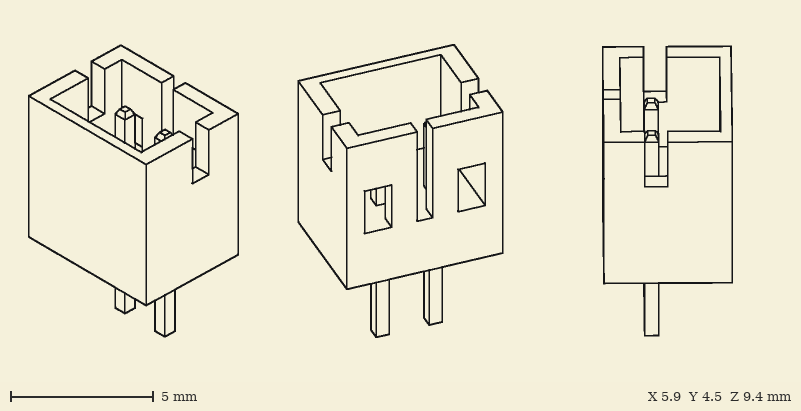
import cadquery as cq

WIDTH = 5.9
DEPTH = 4.5
HEIGHT = 6.0
SIDE_WALL = 0.67
FRONT_WALL = 0.4
REAR_WALL = 0.6
FLOOR = 2.2

KEY_SLOT_WIDTH = 0.58
SIDE_NOTCH_WIDTH = 0.8
SIDE_NOTCH_DEPTH = 1.9
WINDOW_DROP = 2.0
WINDOW_INNER_X = 1.26

PIN_SIZE = 0.5
PIN_PITCH = 2.0
PIN_TAIL = 9.4 - HEIGHT
PIN_TOP_DROP = 0.95
PIN_REAR_GAP = 1.44
TIP_SIZE = 0.26
TIP_HEIGHT = 0.22

front_y = -DEPTH / 2
rear_y = DEPTH / 2
cavity_half_width = WIDTH / 2 - SIDE_WALL
pin_rear_y = rear_y - PIN_REAR_GAP
pin_y = pin_rear_y - PIN_SIZE / 2


def block(x_range, y_range, z_range):
    """Rectangular block spanning the given limits."""
    lows, highs = zip(x_range, y_range, z_range)
    sizes = [high - low for low, high in zip(lows, highs)]
    return cq.Workplane("XY").box(*sizes, centered=False).translate(lows)


def housing():
    body = block((-WIDTH / 2, WIDTH / 2), (front_y, rear_y), (0, HEIGHT))
    cavity = block(
        (-cavity_half_width, cavity_half_width),
        (front_y + FRONT_WALL, rear_y - REAR_WALL),
        (FLOOR, HEIGHT),
    )
    rear_wall_y = (rear_y - REAR_WALL, rear_y)
    key_slot = block((-KEY_SLOT_WIDTH / 2, KEY_SLOT_WIDTH / 2), rear_wall_y, (FLOOR, HEIGHT))

    side_notches = block(
        (-WIDTH / 2, WIDTH / 2),
        (pin_rear_y - SIDE_NOTCH_WIDTH, pin_rear_y),
        (HEIGHT - SIDE_NOTCH_DEPTH, HEIGHT),
    )
    window = block((WINDOW_INNER_X, cavity_half_width), rear_wall_y, (FLOOR, HEIGHT - WINDOW_DROP))
    body = body.cut(cavity).cut(key_slot).cut(side_notches)
    return body.cut(window).cut(window.mirror("YZ"))


def pin(x):
    """Square pin through the floor, with a tapered upper tip."""
    shaft_length = PIN_TAIL + HEIGHT - PIN_TOP_DROP - TIP_HEIGHT
    shaft = cq.Workplane("XY").rect(PIN_SIZE, PIN_SIZE).extrude(shaft_length)
    tip = (
        cq.Workplane("XY", origin=(0, 0, shaft_length))
        .rect(PIN_SIZE, PIN_SIZE)
        .workplane(offset=TIP_HEIGHT)
        .rect(TIP_SIZE, TIP_SIZE)
        .loft(ruled=True)
    )
    return shaft.union(tip).translate((x, pin_y, -PIN_TAIL))


result = housing()
for pin_x in (-PIN_PITCH / 2, PIN_PITCH / 2):
    result = result.union(pin(pin_x))